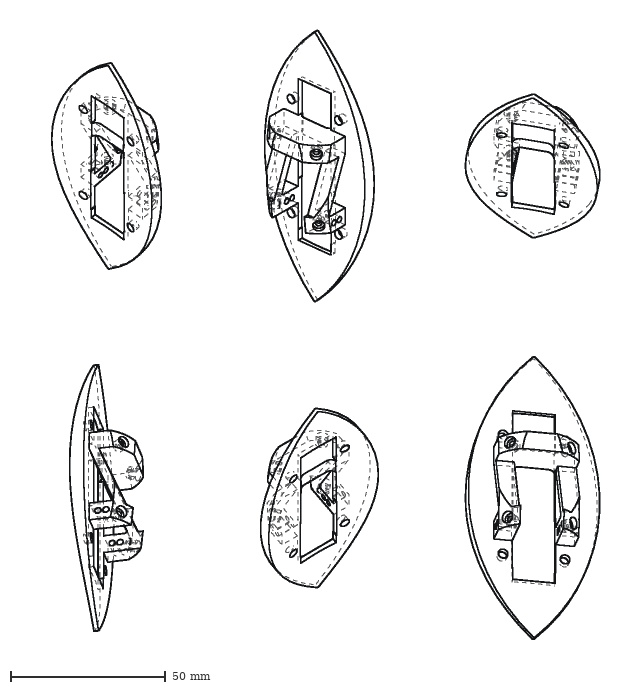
import cadquery as cq
import math

PLATE_LENGTH = 101.6
PLATE_WIDTH = 43.6
TIP_RADIUS = 0.6
CENTRE_THICKNESS = 1.5
EDGE_THICKNESS = 4.7
WINDOW_HEIGHT = 61.0
WINDOW_WIDTH = 14.0
WIDE_WINDOW_TOP = -7.1
WIDE_WINDOW_BOTTOM = -26.4
SCREW_HOLE_DIAMETER = 3.1
SCREW_HOLE_X = 10.3
SCREW_HOLE_Z = 21.5

BRACKET_WIDTH = 26.6
BRACKET_DEPTH = 13.4
INNER_WIDTH = 14.4
BRIDGE_TOP = 16.8
BLOCK_HEIGHT = 6.4
BRIDGE_BOTTOM = BRIDGE_TOP - BLOCK_HEIGHT
LUG_TOP = -10.2
LUG_BOTTOM = LUG_TOP - BLOCK_HEIGHT
BRIDGE_CORNER_RADIUS = 2.6
STRUT_TOP_BACK_Y = 3.1
STRUT_BOTTOM_FRONT_Y = 8.1
STRUT_BOTTOM_BACK_Y = 11.5
STRUT_FILLET = 0.8
CROSS_HOLE_DIAMETER = 2.0
CROSS_HOLE_YS = (2.8, 5.5)
BLOCK_CENTRE_OFFSET = BLOCK_HEIGHT / 2

BARREL_AXIS_Y = -CENTRE_THICKNESS
BARREL_MIDDLE_RADIUS = 16.6
BARREL_SHOULDER_RADIUS = 16.4
BARREL_END_RADIUS = 15.7

INSERT_DIAMETER = 3.9
INSERT_BORE = 2.0
INSERT_LENGTH = 1.7
SOCKET_DEPTH = 3.7
UPPER_SOCKET_ANGLE = 50.0
LOWER_SOCKET_ANGLE = 47.0
SOCKET_MOUTH_RADIUS = 16.3
SOCKET_OVERRUN = 2.0


def box(x_size, y_min, y_max, z_min, z_max):
    """Block centred on x = 0 between the given Y and Z limits."""
    return (
        cq.Workplane("XY")
        .box(x_size, y_max - y_min, z_max - z_min, centered=(True, False, False))
        .translate((0, y_min, z_min))
    )


def make_bridge_corners():
    """Concave fillets between the window walls and the -Y face of the bridge."""
    corner_block = box(WINDOW_WIDTH, -EDGE_THICKNESS, 0, BRIDGE_BOTTOM, BRIDGE_TOP)
    return corner_block.cut(corner_block.edges("|Z and >Y").fillet(BRIDGE_CORNER_RADIUS))


def make_plate():
    half_length = PLATE_LENGTH / 2
    half_width = PLATE_WIDTH / 2
    tip_centre_z = half_length - TIP_RADIUS
    side_radius = (half_width**2 + tip_centre_z**2 - TIP_RADIUS**2) / (2 * (half_width - TIP_RADIUS))
    side_centre_x = side_radius - half_width
    centre_distance = side_radius - TIP_RADIUS
    tangent_x = TIP_RADIUS * side_centre_x / centre_distance
    tangent_z = side_radius * tip_centre_z / centre_distance
    plate = (
        cq.Workplane("XZ")
        .moveTo(tangent_x, tangent_z)
        .threePointArc((half_width, 0), (tangent_x, -tangent_z))
        .threePointArc((0, -half_length), (-tangent_x, -tangent_z))
        .threePointArc((-half_width, 0), (-tangent_x, tangent_z))
        .threePointArc((0, half_length), (tangent_x, tangent_z))
        .close()
        .extrude(EDGE_THICKNESS)
    )
    sag = EDGE_THICKNESS - CENTRE_THICKNESS
    hollow_radius = (half_width**2 + sag**2) / (2 * sag)
    hollow = (
        cq.Workplane("XY")
        .center(0, -CENTRE_THICKNESS - hollow_radius)
        .circle(hollow_radius)
        .extrude(half_length, both=True)
    )
    window = box(WINDOW_WIDTH, -EDGE_THICKNESS, 0, -WINDOW_HEIGHT / 2, WINDOW_HEIGHT / 2)
    window = window.cut(make_bridge_corners())
    wide_window = box(INNER_WIDTH, -EDGE_THICKNESS, 0, WIDE_WINDOW_BOTTOM, WIDE_WINDOW_TOP)
    screw_holes = (
        cq.Workplane("XZ")
        .rect(2 * SCREW_HOLE_X, 2 * SCREW_HOLE_Z, forConstruction=True)
        .vertices()
        .circle(SCREW_HOLE_DIAMETER / 2)
        .extrude(EDGE_THICKNESS)
    )
    return plate.cut(hollow).cut(window).cut(wide_window).cut(screw_holes)


def make_side_profile():
    """Z-shaped side outline of bridge, struts and lugs, extruded across the bracket."""
    outline = [
        (0, BRIDGE_TOP),
        (BRACKET_DEPTH, BRIDGE_TOP),
        (BRACKET_DEPTH, BRIDGE_BOTTOM),
        (STRUT_TOP_BACK_Y, BRIDGE_BOTTOM),
        (STRUT_BOTTOM_BACK_Y, LUG_TOP),
        (BRACKET_DEPTH, LUG_TOP),
        (BRACKET_DEPTH, LUG_BOTTOM),
        (0, LUG_BOTTOM),
        (0, LUG_TOP),
        (STRUT_BOTTOM_FRONT_Y, LUG_TOP),
        (0, BRIDGE_BOTTOM),
    ]
    profile = cq.Workplane("YZ").polyline(outline).close().extrude(BRACKET_WIDTH / 2, both=True)
    strut_foot = cq.selectors.NearestToPointSelector((0, STRUT_BOTTOM_FRONT_Y, LUG_TOP))
    return profile.edges("|X").edges(strut_foot).fillet(STRUT_FILLET)


def make_inner_space():
    """Space between the struts and between the lugs, below the solid bridge."""
    return box(INNER_WIDTH, 0, BRACKET_DEPTH, LUG_BOTTOM, BRIDGE_BOTTOM)


def make_barrel():
    return (
        cq.Workplane("XZ")
        .moveTo(0, -BRIDGE_TOP)
        .lineTo(BARREL_END_RADIUS, -BRIDGE_TOP)
        .spline(
            [
                (BARREL_SHOULDER_RADIUS, LUG_TOP),
                (BARREL_MIDDLE_RADIUS, 0),
                (BARREL_SHOULDER_RADIUS, -LUG_TOP),
                (BARREL_END_RADIUS, BRIDGE_TOP),
            ],
            includeCurrent=True,
        )
        .lineTo(0, BRIDGE_TOP)
        .close()
        .revolve(360, (0, 0, 0), (0, 1, 0))
        .translate((0, BARREL_AXIS_Y, 0))
    )


def make_cross_holes():
    return (
        cq.Workplane("YZ")
        .pushPoints([(y, LUG_TOP - BLOCK_CENTRE_OFFSET) for y in CROSS_HOLE_YS])
        .circle(CROSS_HOLE_DIAMETER / 2)
        .extrude(BRACKET_WIDTH / 2, both=True)
    )


def socket_floor(side, z, angle_from_x):
    """Workplane on the floor of a socket, facing outward; side is -1 or 1 along X."""
    angle = math.radians(angle_from_x)
    outward = (side * math.cos(angle), math.sin(angle), 0)
    floor_radius = SOCKET_MOUTH_RADIUS - SOCKET_DEPTH
    origin = (outward[0] * floor_radius, BARREL_AXIS_Y + outward[1] * floor_radius, z)
    return cq.Workplane(cq.Plane(origin, xDir=(0, 0, 1), normal=outward))


def make_socket(side, z, angle_from_x):
    floor = socket_floor(side, z, angle_from_x)
    return floor.circle(INSERT_DIAMETER / 2).extrude(SOCKET_DEPTH + SOCKET_OVERRUN)


def make_insert(side, z, angle_from_x):
    return (
        socket_floor(side, z, angle_from_x)
        .circle(INSERT_DIAMETER / 2)
        .circle(INSERT_BORE / 2)
        .extrude(INSERT_LENGTH)
    )


socket_places = [
    (side, block_top - BLOCK_CENTRE_OFFSET, angle_from_x)
    for side in (-1, 1)
    for block_top, angle_from_x in ((BRIDGE_TOP, UPPER_SOCKET_ANGLE), (LUG_TOP, LOWER_SOCKET_ANGLE))
]

bracket = make_side_profile().cut(make_inner_space()).intersect(make_barrel()).cut(make_cross_holes())
housing = make_plate().union(bracket)
for side, z, angle_from_x in socket_places:
    housing = housing.cut(make_socket(side, z, angle_from_x))

inserts = [
    make_insert(side, z, angle_from_x)
    for side, z, angle_from_x in socket_places
]

result = cq.Compound.makeCompound([housing.val(), *[insert.val() for insert in inserts]])